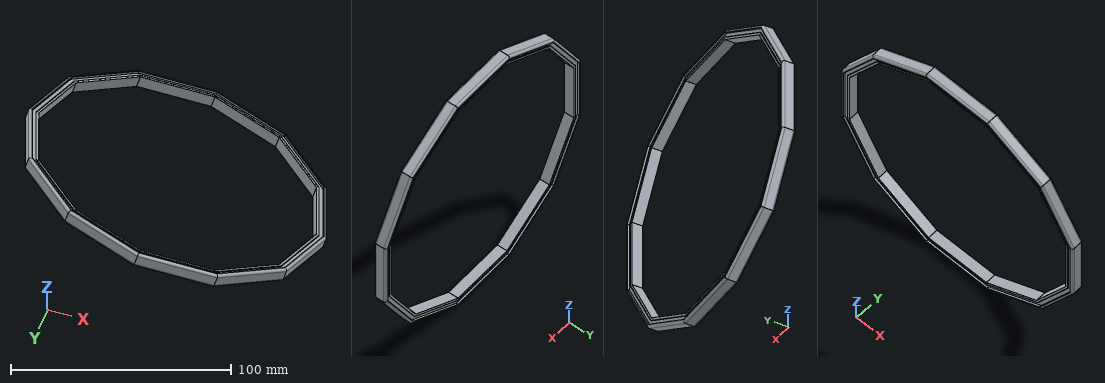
import cadquery as cq
import math

side_count = 12
outer_width = 142.7
thickness = 6.8
edge_radius = 1.21
rim_width = 1.5
groove_width = 2.0
lip_width = 1.3
groove_depth = 1.1
lip_drop = 0.5

outer_apothem = outer_width / 2
groove_outer_apothem = outer_apothem - rim_width
lip_apothem = groove_outer_apothem - groove_width
bore_apothem = lip_apothem - lip_width


def polygon_prism(apothem, depth):
    """Twelve-sided prism centred on the origin, with its axis along Y."""
    half_step = math.pi / side_count
    corner_radius = apothem / math.cos(half_step)
    angles = [(2 * i + 1) * half_step for i in range(side_count)]
    corners = [(corner_radius * math.cos(a), corner_radius * math.sin(a)) for a in angles]
    return cq.Workplane("XZ").polyline(corners).close().extrude(depth / 2, both=True)


def recess(outer, inner, depth):
    """Twelve-sided band to cut equally deep into both faces."""
    band = polygon_prism(outer, thickness).cut(polygon_prism(inner, thickness))
    return band.cut(polygon_prism(outer_apothem, thickness - 2 * depth))


body = polygon_prism(outer_apothem, thickness)
body = body.faces("<Y or >Y").edges().fillet(edge_radius)
ring = body.cut(polygon_prism(bore_apothem, thickness))

ring = ring.cut(recess(groove_outer_apothem, lip_apothem, groove_depth))
ring = ring.cut(recess(lip_apothem, bore_apothem, lip_drop))

result = ring